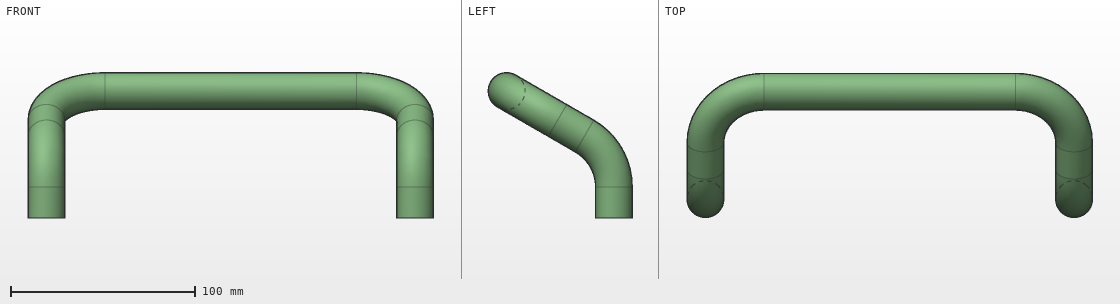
import cadquery as cq
import math

overall_length = 220.0
bar_diameter = 20.0
bend_radius = 32.0
foot_height = 17.0
arm_length = 17.0
lean_angle = 60.0

leg_x = (overall_length - bar_diameter) / 2
grip_half_length = leg_x - bend_radius
lean = math.radians(lean_angle)


def lean_bend_point(angle):
    """Centreline point on the left lower bend after turning by angle."""
    y = bend_radius * (1 - math.cos(angle))
    z = foot_height + bend_radius * math.sin(angle)
    return cq.Vector(-leg_x, y, z)


arm_direction = cq.Vector(0, math.sin(lean), math.cos(lean))
grip_direction = cq.Vector(1, 0, 0)

foot_bottom = cq.Vector(-leg_x, 0, 0)
foot_top = lean_bend_point(0)
lean_bend_middle = lean_bend_point(lean / 2)
arm_start = lean_bend_point(lean)
arm_end = arm_start + arm_direction * arm_length

diagonal = math.radians(45)
corner_middle = (
    arm_end
    + arm_direction * (bend_radius * math.sin(diagonal))
    + grip_direction * (bend_radius * (1 - math.cos(diagonal)))
)
grip_start = arm_end + (arm_direction + grip_direction) * bend_radius


def mirrored(point):
    """Matching point on the right half of the handle."""
    return cq.Vector(-point.x, point.y, point.z)


centreline = cq.Wire.assembleEdges([
    cq.Edge.makeLine(foot_bottom, foot_top),
    cq.Edge.makeThreePointArc(foot_top, lean_bend_middle, arm_start),
    cq.Edge.makeLine(arm_start, arm_end),
    cq.Edge.makeThreePointArc(arm_end, corner_middle, grip_start),
    cq.Edge.makeLine(grip_start, grip_start + grip_direction * (2 * grip_half_length)),
    cq.Edge.makeThreePointArc(mirrored(grip_start), mirrored(corner_middle), mirrored(arm_end)),
    cq.Edge.makeLine(mirrored(arm_end), mirrored(arm_start)),
    cq.Edge.makeThreePointArc(mirrored(arm_start), mirrored(lean_bend_middle), mirrored(foot_top)),
    cq.Edge.makeLine(mirrored(foot_top), mirrored(foot_bottom)),
])

result = (
    cq.Workplane("XY", origin=foot_bottom.toTuple())
    .circle(bar_diameter / 2)
    .sweep(cq.Workplane(obj=centreline))
)